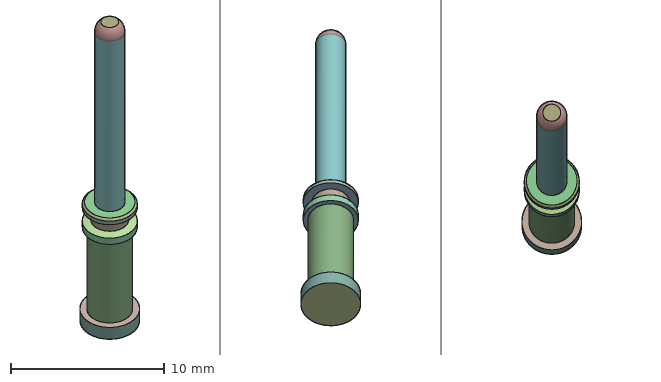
import cadquery as cq
import math

total_height = 25.2

base_diameter = 3.9
base_height = 1.0

body_diameter = 3.0
neck_diameter = 2.5
pin_diameter = 2.0
tip_height = 0.8

collar_diameter = 3.6
lower_collar_bottom = 7.9
lower_collar_edge_top = 8.42
lower_collar_slope_rise = 0.13

upper_collar_bottom = 9.55
upper_collar_top = 10.0
collar_chamfer = 0.15

base_radius = base_diameter / 2
body_radius = body_diameter / 2
neck_radius = neck_diameter / 2
pin_radius = pin_diameter / 2
collar_radius = collar_diameter / 2


def cylinder(radius, bottom, top):
    """Cylinder about the Z axis between two heights."""
    return cq.Workplane("XY").workplane(offset=bottom).circle(radius).extrude(top - bottom)


def lower_collar():
    """Collar whose top face slopes up to the neck."""
    profile = (
        cq.Workplane("XZ")
        .moveTo(0, lower_collar_bottom)
        .lineTo(collar_radius, lower_collar_bottom)
        .lineTo(collar_radius, lower_collar_edge_top)
        .lineTo(neck_radius, lower_collar_edge_top + lower_collar_slope_rise)
        .lineTo(0, lower_collar_edge_top + lower_collar_slope_rise)
        .close()
    )
    return profile.revolve(360, (0, 0, 0), (0, 1, 0))


def upper_collar():
    """Collar with a chamfered top rim."""
    collar = cylinder(collar_radius, upper_collar_bottom, upper_collar_top)
    return collar.faces(">Z").edges().chamfer(collar_chamfer)


def pin():
    """Contact pin with a spherical tip cut off flat."""
    tip_base = total_height - tip_height
    tip_flat_radius = math.sqrt(pin_radius**2 - tip_height**2)
    mid_angle = math.asin(tip_height / pin_radius) / 2
    arc_middle = (
        pin_radius * math.cos(mid_angle),
        tip_base + pin_radius * math.sin(mid_angle),
    )
    profile = (
        cq.Workplane("XZ")
        .moveTo(0, upper_collar_bottom)
        .lineTo(pin_radius, upper_collar_bottom)
        .lineTo(pin_radius, tip_base)
        .threePointArc(arc_middle, (tip_flat_radius, total_height))
        .lineTo(0, total_height)
        .close()
    )
    return profile.revolve(360, (0, 0, 0), (0, 1, 0))


base = cylinder(base_radius, 0, base_height)
body = cylinder(body_radius, base_height, lower_collar_bottom)
neck = cylinder(neck_radius, lower_collar_bottom, upper_collar_bottom)

result = base.union(body).union(lower_collar()).union(neck).union(upper_collar()).union(pin())